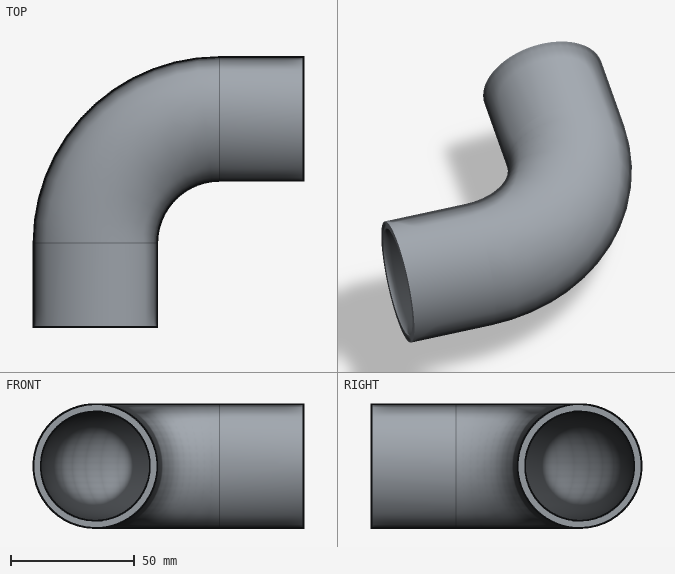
import cadquery as cq
import math

overall_length = 109.0
outer_diameter = 50.0
inner_diameter = 44.0
bend_radius = outer_diameter

straight_length = overall_length - bend_radius - outer_diameter / 2

bend_midpoint = (
    bend_radius * (1 - math.cos(math.pi / 4)),
    bend_radius * math.sin(math.pi / 4),
)
centreline = (
    cq.Workplane("XY")
    .moveTo(0, -straight_length)
    .lineTo(0, 0)
    .threePointArc(bend_midpoint, (bend_radius, bend_radius))
    .lineTo(bend_radius + straight_length, bend_radius)
)

result = (
    cq.Workplane("XZ", origin=(0, -straight_length, 0))
    .circle(outer_diameter / 2)
    .circle(inner_diameter / 2)
    .sweep(centreline)
)